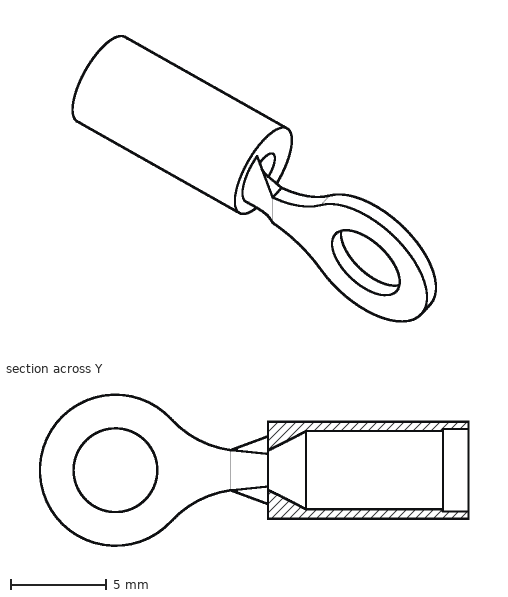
import cadquery as cq
import math

barrel_length = 10.51
barrel_radius = 5.1 / 2
entry_radius = 2.15
entry_depth = 1.35
bore_radius = 2.05
funnel_length = 2.0
wire_hole_radius = 2.05 / 2

total_length = 22.45
tongue_start = 12.47
tongue_front_y = -1.86
tongue_thickness = 0.8
neck_half_width = 1.05
ring_radius = 7.93 / 2
stud_hole_radius = 4.38 / 2
neck_arc_radius = 5.19

trough_outer_radius = abs(tongue_front_y)
trough_edge_y = -0.56

tongue_back_y = tongue_front_y + tongue_thickness
ring_center_x = total_length - ring_radius


def make_barrel():
    """Sleeve with a stepped bore and a funnel narrowing to the wire hole."""
    profile = (
        cq.Workplane("XY")
        .moveTo(0, entry_radius)
        .lineTo(0, barrel_radius)
        .lineTo(barrel_length, barrel_radius)
        .lineTo(barrel_length, wire_hole_radius)
        .lineTo(barrel_length - funnel_length, bore_radius)
        .lineTo(entry_depth, bore_radius)
        .lineTo(entry_depth, entry_radius)
        .close()
    )
    return profile.revolve(360, (0, 0, 0), (1, 0, 0))


def make_transition():
    """Ruled loft from a circular trough to the rectangular neck of the tongue."""
    outer_edge_z = math.sqrt(trough_outer_radius**2 - trough_edge_y**2)
    inner_edge_z = math.sqrt(wire_hole_radius**2 - trough_edge_y**2)
    return (
        cq.Workplane("YZ", origin=(barrel_length, 0, 0))
        .moveTo(trough_edge_y, outer_edge_z)
        .threePointArc((-trough_outer_radius, 0), (trough_edge_y, -outer_edge_z))
        .lineTo(trough_edge_y, -inner_edge_z)
        .threePointArc((-wire_hole_radius, 0), (trough_edge_y, inner_edge_z))
        .close()
        .workplane(offset=tongue_start - barrel_length)
        .moveTo(tongue_front_y, neck_half_width)
        .lineTo(tongue_front_y, -neck_half_width)
        .lineTo(tongue_back_y, -neck_half_width)
        .lineTo(tongue_back_y, neck_half_width)
        .close()
        .loft(ruled=True)
    )


def make_tongue():
    """Ring whose outline runs tangentially into two concave neck arcs."""
    corner_dx = ring_center_x - tongue_start
    corner_distance = math.hypot(corner_dx, neck_half_width)
    corner_angle = math.atan2(neck_half_width, corner_dx)
    center_distance = ring_radius + neck_arc_radius
    cos_at_ring = (corner_distance**2 + center_distance**2 - neck_arc_radius**2) / (
        2 * corner_distance * center_distance
    )
    tangent_angle = corner_angle + math.acos(cos_at_ring)
    tangent_x = ring_center_x - ring_radius * math.cos(tangent_angle)
    tangent_z = ring_radius * math.sin(tangent_angle)

    arc_center_x = ring_center_x - center_distance * math.cos(tangent_angle)
    arc_center_z = center_distance * math.sin(tangent_angle)
    start_angle = math.atan2(neck_half_width - arc_center_z, tongue_start - arc_center_x)
    middle_angle = (start_angle - tangent_angle) / 2
    middle_x = arc_center_x + neck_arc_radius * math.cos(middle_angle)
    middle_z = arc_center_z + neck_arc_radius * math.sin(middle_angle)

    return (
        cq.Workplane("XZ", origin=(0, tongue_back_y, 0))
        .moveTo(tongue_start, neck_half_width)
        .threePointArc((middle_x, middle_z), (tangent_x, tangent_z))
        .threePointArc((total_length, 0), (tangent_x, -tangent_z))
        .threePointArc((middle_x, -middle_z), (tongue_start, -neck_half_width))
        .close()
        .moveTo(ring_center_x, 0)
        .circle(stud_hole_radius)
        .extrude(tongue_thickness)
    )


result = make_barrel().union(make_transition()).union(make_tongue())